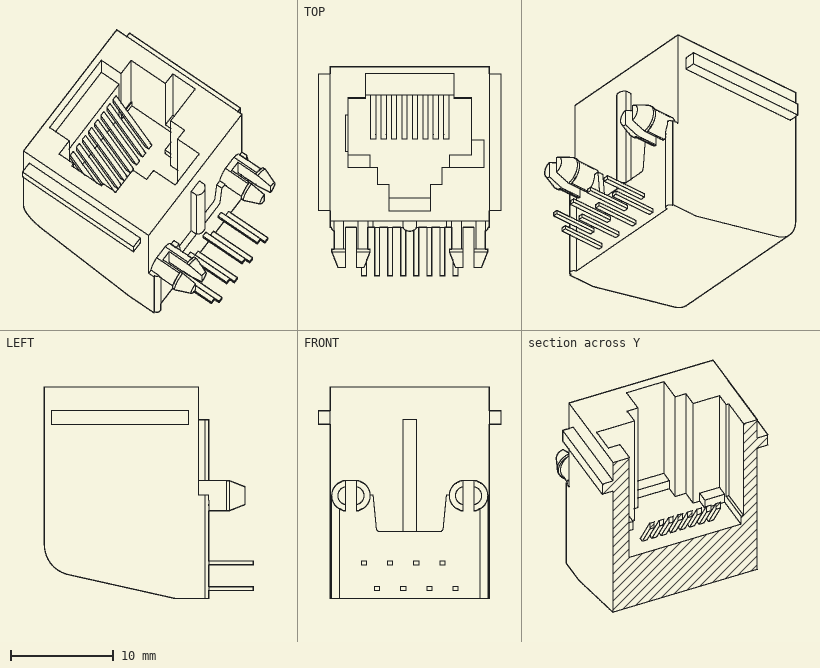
import cadquery as cq
import math


BODY_WIDTH = 15.5
BODY_DEPTH = 15.0
OVERALL_DEPTH = 20.32
BODY_HEIGHT = 20.57
HALF_WIDTH = BODY_WIDTH / 2
FLAT_END_DEPTH = 2.3
SLOPE_ANGLE = 12.6
REAR_RADIUS = 3.0

PAD_THICKNESS = 0.62
PAD_TOP = 10.05
NOTCH_FLOOR = 6.5
NOTCH_TOP_HALF = 3.56
NOTCH_FLOOR_HALF = 3.22
NOTCH_RADIUS = 0.35

STANDOFF = 1.0
CENTRE_RIB_HALF = 0.68
CENTRE_RIB_TOP = 17.4
EDGE_RIB_X = 7.22
EDGE_RIB_HALF = 0.4

OVERALL_WIDTH = 17.78
BAR_HEIGHT = 1.33
BAR_TOP = BODY_HEIGHT - 2.3
BAR_FRONT = 1.0
BAR_REAR = 14.3

PEG_X = 5.715
PEG_Z = 10.0
PEG_HALF_HEIGHT = 1.48
PEG_SLOT = 1.04
SHAFT_RADIUS = 1.64
BARB_OFFSET = 0.39
BARB_TIP_RADIUS = 0.88
BARB_START = 2.73
CONE_START = 2.99
PEG_LENGTH = 4.52

PIN_COUNT = 8
PIN_PITCH = 1.27
PIN_WIDTH = 0.5
PIN_THICKNESS = 0.4
PIN_LENGTH = OVERALL_DEPTH - BODY_DEPTH
PIN_LOWER_Z = 0.97
PIN_ROW_GAP = 2.5

CAVITY_DEPTH = 12.5
CAVITY_FLOOR = BODY_HEIGHT - CAVITY_DEPTH
CAVITY_HALF = 5.98
CAVITY_FRONT = 5.22
CAVITY_REAR = 12.0
KEY_HALF = 3.15
KEY_FRONT = 3.56
LATCH_HALF = 2.0
LATCH_FRONT = 0.97
CONTACT_BAY_HALF = 4.3
CONTACT_WALL = 12.24
REAR_POCKET = 14.36
REAR_POCKET_DEPTH = 3.34
LEFT_NOTCH_X = 6.26
LEFT_NOTCH_FRONT = 6.75
LEFT_NOTCH_REAR = 10.29
RIGHT_NOTCH_X = 7.22
RIGHT_NOTCH_REAR = 7.9

SHELF_TOP = CAVITY_FLOOR + 1.0
SHELF_INNER = 3.85
SHELF_REAR = 6.4
LATCH_SHELF_REAR = 2.23
REAR_LIP_FRONT = CAVITY_REAR - 0.08

CONTACT_PITCH = 1.016
CONTACT_WIDTH = 0.52
CONTACT_THICKNESS = 0.4
CONTACT_TOP = 15.1
CONTACT_TOE = 7.95
EMBED = 0.5


def block(x0, x1, y0, y1, z0, z1):
    """Rectangular block between opposite corners."""
    return cq.Workplane("XY").box(x1 - x0, y1 - y0, z1 - z0, centered=False).translate((x0, y0, z0))


def along_board_normal(y):
    """Sketch plane seen from the board side at depth y (local axes +X and +Z)."""
    return cq.Workplane("XZ", origin=(0, y, 0))


def make_body():
    rear_z = (BODY_DEPTH - FLAT_END_DEPTH) * math.tan(math.radians(SLOPE_ANGLE))
    profile = [
        (0, 0),
        (FLAT_END_DEPTH, 0),
        (BODY_DEPTH, rear_z),
        (BODY_DEPTH, BODY_HEIGHT),
        (0, BODY_HEIGHT),
    ]
    body = cq.Workplane("YZ").polyline(profile).close().extrude(HALF_WIDTH, both=True)
    lower_rear_edge = cq.selectors.NearestToPointSelector((0, BODY_DEPTH, rear_z))
    return body.edges(lower_rear_edge).fillet(REAR_RADIUS)


def make_pad():
    outline = [
        (-HALF_WIDTH, 0),
        (HALF_WIDTH, 0),
        (HALF_WIDTH, PAD_TOP),
        (NOTCH_TOP_HALF, PAD_TOP),
        (NOTCH_FLOOR_HALF, NOTCH_FLOOR),
        (-NOTCH_FLOOR_HALF, NOTCH_FLOOR),
        (-NOTCH_TOP_HALF, PAD_TOP),
        (-HALF_WIDTH, PAD_TOP),
    ]
    pad = along_board_normal(EMBED).polyline(outline).close().extrude(EMBED + PAD_THICKNESS)
    for side in (-1, 1):
        corner = (side * NOTCH_FLOOR_HALF, -PAD_THICKNESS / 2, NOTCH_FLOOR)
        pad = pad.edges(cq.selectors.NearestToPointSelector(corner)).fillet(NOTCH_RADIUS)
    return pad


def make_rib(x, half_width, bottom, top):
    """Upright rib with straight flanks and a rounded crest."""
    return (
        cq.Workplane("XY", origin=(0, 0, bottom))
        .moveTo(x - half_width, EMBED)
        .lineTo(x - half_width, -PAD_THICKNESS)
        .threePointArc((x, -STANDOFF), (x + half_width, -PAD_THICKNESS))
        .lineTo(x + half_width, EMBED)
        .close()
        .extrude(top - bottom)
    )


def make_panel_bars():
    half = OVERALL_WIDTH / 2
    full_bar = block(-half, half, BAR_FRONT, BAR_REAR, BAR_TOP - BAR_HEIGHT, BAR_TOP)
    core = HALF_WIDTH - EMBED
    return full_bar.cut(block(-core, core, 0, BODY_DEPTH, 0, BODY_HEIGHT))


def make_barb(x, side):
    """One barb of a peg: short rim, then a taper to the tip."""
    axis = (x + side * BARB_OFFSET, PEG_Z)
    rim_length = CONE_START - BARB_START
    rim = along_board_normal(-BARB_START).center(*axis).circle(PEG_HALF_HEIGHT).extrude(rim_length)
    taper = (
        along_board_normal(-CONE_START)
        .center(*axis)
        .circle(PEG_HALF_HEIGHT)
        .workplane(offset=PEG_LENGTH - CONE_START)
        .circle(BARB_TIP_RADIUS)
        .loft()
    )
    slot_edge = x + side * PEG_SLOT / 2
    outer = slot_edge + side * 2 * PEG_HALF_HEIGHT
    keep = block(min(slot_edge, outer), max(slot_edge, outer), -PEG_LENGTH, 0, 0, BODY_HEIGHT)
    return rim.union(taper).intersect(keep)


def make_peg(x):
    """Split peg: shaft flattened above and below, with a barb on each half."""
    shaft = along_board_normal(EMBED).center(x, PEG_Z).circle(SHAFT_RADIUS).extrude(EMBED + BARB_START)
    flats = block(
        x - SHAFT_RADIUS,
        x + SHAFT_RADIUS,
        -BARB_START,
        EMBED,
        PEG_Z - PEG_HALF_HEIGHT,
        PEG_Z + PEG_HALF_HEIGHT,
    )
    slot = block(x - PEG_SLOT / 2, x + PEG_SLOT / 2, -PEG_LENGTH, -PAD_THICKNESS, 0, BODY_HEIGHT)
    peg = shaft.intersect(flats).cut(slot)
    return peg.union(make_barb(x, -1)).union(make_barb(x, 1))


def centred_positions(pitch):
    return [(i - (PIN_COUNT - 1) / 2) * pitch for i in range(PIN_COUNT)]


def make_pin(index, x):
    """Solder pin; even pins sit in the upper row, odd pins in the lower row."""
    z = PIN_LOWER_Z if index % 2 else PIN_LOWER_Z + PIN_ROW_GAP
    return along_board_normal(EMBED).center(x, z).rect(PIN_WIDTH, PIN_THICKNESS).extrude(EMBED + PIN_LENGTH)


def make_cavity():
    top = BODY_HEIGHT
    floor = CAVITY_FLOOR
    cavity = block(-CAVITY_HALF, CAVITY_HALF, CAVITY_FRONT, CAVITY_REAR, floor, top)
    recesses = [
        block(-KEY_HALF, KEY_HALF, KEY_FRONT, CAVITY_REAR, floor, top),
        block(-LATCH_HALF, LATCH_HALF, LATCH_FRONT, CAVITY_REAR, floor, top),
        block(-CONTACT_BAY_HALF, CONTACT_BAY_HALF, CAVITY_FRONT, CONTACT_WALL, floor, top),
        block(-CONTACT_BAY_HALF, CONTACT_BAY_HALF, CAVITY_FRONT, REAR_POCKET, top - REAR_POCKET_DEPTH, top),
        block(-LEFT_NOTCH_X, 0, LEFT_NOTCH_FRONT, LEFT_NOTCH_REAR, SHELF_TOP, top),
        block(0, RIGHT_NOTCH_X, CAVITY_FRONT, RIGHT_NOTCH_REAR, SHELF_TOP, top),
    ]
    shelves = [block(-LATCH_HALF, LATCH_HALF, LATCH_FRONT, LATCH_SHELF_REAR, floor, SHELF_TOP)]
    for side in (-1, 1):
        for inner, front, rear in (
            (SHELF_INNER, CAVITY_FRONT, SHELF_REAR),
            (CONTACT_BAY_HALF, REAR_LIP_FRONT, CAVITY_REAR),
        ):
            x0, x1 = sorted((side * inner, side * CAVITY_HALF))
            shelves.append(block(x0, x1, front, rear, floor, SHELF_TOP))
    for recess in recesses:
        cavity = cavity.union(recess)
    for shelf in shelves:
        cavity = cavity.cut(shelf)
    return cavity


def make_contact(x):
    """Spring contact slanting from the rear wall down into the cavity floor."""
    steepness = (CONTACT_TOP - CAVITY_FLOOR) / (CONTACT_WALL - CONTACT_TOE)
    drop = CONTACT_THICKNESS * math.hypot(1, steepness)
    embed_drop = EMBED * steepness
    front_top = (CONTACT_WALL + EMBED, CONTACT_TOP + embed_drop)
    front_toe = (CONTACT_TOE - EMBED, CAVITY_FLOOR - embed_drop)
    outline = [
        front_top,
        front_toe,
        (front_toe[0], front_toe[1] - drop),
        (front_top[0], front_top[1] - drop),
    ]
    return (
        cq.Workplane("YZ", origin=(x, 0, 0))
        .polyline(outline)
        .close()
        .extrude(CONTACT_WIDTH / 2, both=True)
    )


result = make_body().cut(make_cavity()).union(make_panel_bars()).union(make_pad())
result = result.union(make_rib(0, CENTRE_RIB_HALF, NOTCH_FLOOR, CENTRE_RIB_TOP))
for side in (-1, 1):
    result = result.union(make_rib(side * EDGE_RIB_X, EDGE_RIB_HALF, 0, PAD_TOP))
    result = result.union(make_peg(side * PEG_X))
for index, x in enumerate(centred_positions(PIN_PITCH)):
    result = result.union(make_pin(index, x))
for x in centred_positions(CONTACT_PITCH):
    result = result.union(make_contact(x))